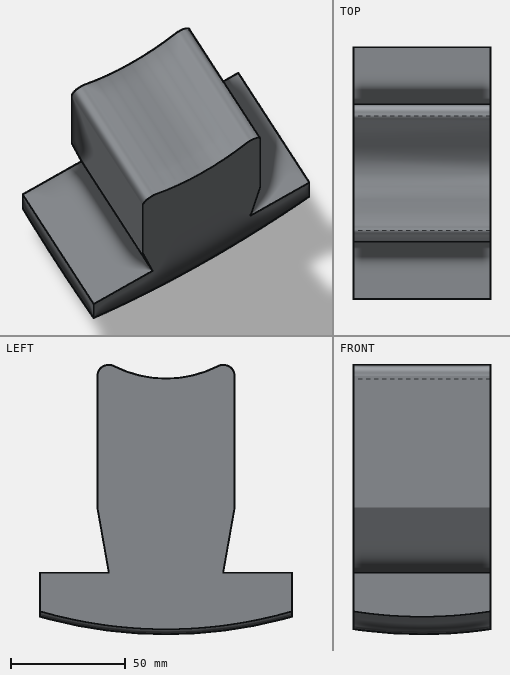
import math

import cadquery as cq

width = 60.0
base_length = 110.0
total_height = 117.7
base_top = 27.0

stem_length = 60.0
neck_length = 50.0
taper_angle = 10.0
taper_height = (stem_length - neck_length) / 2 / math.tan(math.radians(taper_angle))

dome_radius = 200.0
saddle_radius = 50.0
rim_radius = 5.0

rim_center_y = stem_length / 2 - rim_radius
rim_center_z = total_height - rim_radius
center_distance = saddle_radius + rim_radius
saddle_center_z = rim_center_z + math.sqrt(center_distance**2 - rim_center_y**2)
saddle_bottom_z = saddle_center_z - saddle_radius
saddle_share = saddle_radius / center_distance
rim_end_y = rim_center_y * saddle_share
rim_end_z = saddle_center_z + (rim_center_z - saddle_center_z) * saddle_share


def make_profile_body():
    """T-shaped section in the YZ plane with a saddle on top, extruded along X."""
    half_base = base_length / 2
    half_neck = neck_length / 2
    half_stem = stem_length / 2
    taper_top = base_top + taper_height
    return (
        cq.Workplane("YZ")
        .moveTo(-half_base, 0)
        .lineTo(half_base, 0)
        .lineTo(half_base, base_top)
        .lineTo(half_neck, base_top)
        .lineTo(half_stem, taper_top)
        .lineTo(half_stem, rim_center_z)
        .threePointArc((rim_center_y, total_height), (rim_end_y, rim_end_z))
        .threePointArc((0, saddle_bottom_z), (-rim_end_y, rim_end_z))
        .threePointArc((-rim_center_y, total_height), (-half_stem, rim_center_z))
        .lineTo(-half_stem, taper_top)
        .lineTo(-half_neck, base_top)
        .lineTo(-half_base, base_top)
        .close()
        .extrude(width / 2, both=True)
    )


def make_dome():
    """Sphere whose lowest point lies at Z = 0."""
    return cq.Workplane("XY").sphere(dome_radius).translate((0, 0, dome_radius))


result = make_profile_body().intersect(make_dome())